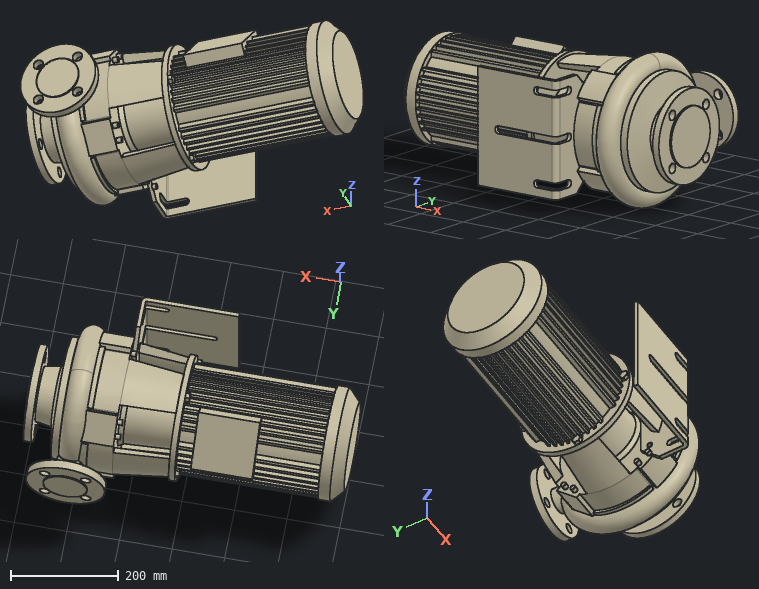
import cadquery as cq
import math

LENGTH = 612.0

cap_diameter = 217.0
cap_face_diameter = 168.0
cap_chamfer_end = 22.5
cap_end = 45.0
core_diameter = 194.0
fin_tip_diameter = 210.0
fin_count = 9
fin_spread = 115.5
fin_width = 4.6

box_start = 169.0
box_end = 286.0
box_width = 114.0
box_top = 109.0
box_depth = 37.0

flange_diameter = 239.0
flange_start = 316.0
flange_end = 327.5
nut_diameter = 19.0
nut_height = 8.0
nut_radius = 110.0
nut_angle = -3.5

lantern_end = 433.0
shell_outer_start = 113.0
shell_outer_end = 126.0
shell_inner_start = 100.5
shell_inner_end = 107.0
window_width_at_axis = 55.0
window_side_angle = 10.0
hub_radius_start = 61.0
hub_radius_end = 66.0
hub_flare_start = 423.5
hub_flare_radius = 71.5
ring_diameter = 252.0
ring_end = 481.5
rim_diameter = 264.5
rim_end = 496.0
pad_width = 62.5
flat_pad_distance = 130.5
round_pad_diameter = 270.5
pad_end = 508.0
pad_seat_width = 72.0
pad_seat_distance = 121.0

pad_bolt_diameter = 10.5
pad_bolt_height = 10.0
outlet_side_bolt_radius = 119.0
outlet_side_bolt_angle = 7.0
foot_side_bolt_radius = 120.5
foot_side_bolt_angles = (8.0, 11.0)

volute_x = 513.0
volute_tube_radius = 24.0
volute_outer_radius = 148.0
volute_center_y = 2.5
volute_center_z = -3.0
volute_tongue_radius = 111.5
cover_diameter = 231.5
cover_end = 551.5
cone_end = 562.0
neck_start_diameter = 117.0
neck_end_diameter = 105.0

inlet_flange_diameter = 185.0
inlet_flange_start = 593.5
inlet_flange_end = 608.5
inlet_face_diameter = 118.0
inlet_bolt_circle = 145.0
outlet_pipe_diameter = 50.0
outlet_flange_diameter = 150.0
outlet_flange_start = 161.0
outlet_flange_end = 177.5
outlet_face_diameter = 84.0
outlet_face_end = 180.0
outlet_bolt_circle = 110.0
flange_hole_diameter = 19.0

plate_thickness = 8.5
bend_inner_radius = 2.5
foot_y = -180.0
foot_start = 248.0
bracket_width = 230.0
web_top_y = -76.0
web_full_width_y = -117.0
web_narrow_width = 150.0
slot_width = 14.5
slot_spacing = 90.0
slot_top_y = -134.0
side_slot_start = 380.5
middle_slot_start = 289.0
bracket_bolt_diameter = 10.5
bracket_bolt_height = 8.0
bracket_bolt_offset = 95.5

CORNERS = (45, 135, 225, 315)
QUARTERS = (0, 90, 180, 270)
NUT_SIDES = 6


def disc(diameter, start, end, y=0.0, z=0.0):
    """Cylinder along X between two stations."""
    return cq.Workplane("YZ", origin=(start, y, z)).circle(diameter / 2).extrude(end - start)


def turned(points):
    """Solid of revolution about X from (x, radius) points."""
    return cq.Workplane("XY").polyline(points).close().revolve(360, (0, 0, 0), (1, 0, 0))


def around(shape, angle):
    """Turn a shape about X; angle 0 is +Y and 90 is +Z."""
    return shape.rotate((0, 0, 0), (1, 0, 0), angle)


def slab(start, end, y_min, y_max, width, z=0.0):
    """Box given by its X and Y limits and its width about a Z height."""
    return cq.Workplane("XY").box(end - start, y_max - y_min, width).translate(
        ((start + end) / 2, (y_min + y_max) / 2, z)
    )


def motor():
    cap = turned(
        [
            (0, 0),
            (0, cap_face_diameter / 2),
            (cap_chamfer_end, cap_diameter / 2),
            (cap_end, cap_diameter / 2),
            (cap_end, 0),
        ]
    )
    tip_radius = fin_tip_diameter / 2
    fin_pitch = fin_spread / (fin_count - 1)
    fins = cq.Workplane("XY")
    for i in range(fin_count):
        z = i * fin_pitch - fin_spread / 2
        fin = slab(cap_end, flange_start, -tip_radius, tip_radius, fin_width, z)
        fins = fins.add(fin).add(around(fin, 90))
    fins = fins.combine().intersect(disc(fin_tip_diameter, cap_end, flange_start))
    core = disc(core_diameter, cap_end, flange_start)
    box = around(slab(box_start, box_end, box_top - box_depth, box_top, box_width), CORNERS[0])
    return cap.union(core).union(fins).union(box)


def motor_flange():
    flange = disc(flange_diameter, flange_start, flange_end)
    nut = (
        cq.Workplane("YZ", origin=(flange_start - nut_height, nut_radius, 0))
        .transformed(rotate=(0, 0, 180 / NUT_SIDES))
        .polygon(NUT_SIDES, nut_diameter)
        .extrude(nut_height)
    )
    for quarter in QUARTERS:
        flange = flange.union(around(nut, quarter + nut_angle))
    return flange


def lantern():
    shell = turned(
        [
            (flange_end, shell_inner_start),
            (flange_end, shell_outer_start),
            (lantern_end, shell_outer_end),
            (lantern_end, shell_inner_end),
        ]
    )
    half_at_axis = window_width_at_axis / 2
    half_at_rim = half_at_axis + rim_diameter / 2 * math.tan(math.radians(window_side_angle))
    window = (
        cq.Workplane("YZ", origin=(flange_end, 0, 0))
        .polyline(
            [
                (0, -half_at_axis),
                (rim_diameter / 2, -half_at_rim),
                (rim_diameter / 2, half_at_rim),
                (0, half_at_axis),
            ]
        )
        .close()
        .extrude(lantern_end - flange_end)
    )
    for corner in CORNERS:
        shell = shell.cut(around(window, corner))
    hub = turned(
        [
            (flange_end, 0),
            (flange_end, hub_radius_start),
            (hub_flare_start, hub_radius_end),
            (lantern_end, hub_flare_radius),
            (lantern_end, 0),
        ]
    )

    ring = disc(ring_diameter, lantern_end, ring_end).union(disc(rim_diameter, ring_end, rim_end))
    seat = slab(lantern_end, rim_end, pad_seat_distance, rim_diameter, pad_seat_width)
    flat_pad = slab(lantern_end, pad_end, 0, flat_pad_distance, pad_width)
    round_pad = slab(lantern_end, pad_end, 0, round_pad_diameter, pad_width).intersect(
        disc(round_pad_diameter, lantern_end, pad_end)
    )
    for corner, pad in zip(CORNERS, (flat_pad, round_pad, round_pad, flat_pad)):
        ring = ring.cut(around(seat, corner)).union(around(pad, corner))
    return shell.union(hub).union(ring).union(pad_bolts())


def pad_bolts():
    """Two bolt heads on each pad, mirrored above and below the shaft."""
    outlet_side, foot_side = CORNERS[:2]
    near_y, near_z = foot_side_bolt_angles
    places = (
        (outlet_side_bolt_radius, outlet_side - outlet_side_bolt_angle),
        (outlet_side_bolt_radius, outlet_side + outlet_side_bolt_angle),
        (foot_side_bolt_radius, foot_side - near_z),
        (foot_side_bolt_radius, foot_side + near_y),
    )
    bolts = cq.Workplane("XY")
    for side in (-1, 1):
        for radius, angle in places:
            bolt = disc(pad_bolt_diameter, lantern_end - pad_bolt_height, lantern_end, radius)
            bolts = bolts.add(around(bolt, side * angle))
    return bolts.combine()


def bent_tube(bend_radius, center_y, center_z, start_angle, sweep):
    """Volute tube bent about an axis along X, its seam on the inside of the bend."""
    tube = (
        cq.Workplane("YX", origin=(volute_x, bend_radius, 0))
        .transformed(rotate=(0, 0, 180))
        .circle(volute_tube_radius)
        .revolve(sweep, (bend_radius, 0, 0), (bend_radius, -1, 0))
    )
    return around(tube, start_angle).translate((0, center_y, center_z))


def casing():
    bend_radius = volute_outer_radius - volute_tube_radius
    tongue_center_z = volute_center_z + bend_radius - volute_tongue_radius
    main = bent_tube(bend_radius, volute_center_y, volute_center_z, 90, 270)
    tongue = bent_tube(volute_tongue_radius, volute_center_y, tongue_center_z, 0, 90)
    volute = main.union(tongue)
    cover = turned(
        [
            (rim_end, 0),
            (rim_end, cover_diameter / 2),
            (cover_end, cover_diameter / 2),
            (cone_end, neck_start_diameter / 2),
            (inlet_flange_start, neck_end_diameter / 2),
            (inlet_flange_start, 0),
        ]
    )
    return cover.union(volute)


def bolt_holes(flange, bolt_circle):
    """Drill the corner holes through a flange that lies across X."""
    return (
        flange.faces(">X")
        .workplane(origin=(0, 0, 0))
        .polarArray(bolt_circle / 2, CORNERS[0], 360, len(CORNERS))
        .hole(flange_hole_diameter)
    )


def inlet():
    flange = disc(inlet_flange_diameter, inlet_flange_start, inlet_flange_end)
    flange = bolt_holes(flange, inlet_bolt_circle)
    return flange.union(disc(inlet_face_diameter, inlet_flange_end, LENGTH))


def outlet():
    """Built along X and then turned to point along +Y from the volute."""
    flange = disc(outlet_flange_diameter, outlet_flange_start, outlet_flange_end)
    flange = bolt_holes(flange, outlet_bolt_circle)
    face = disc(outlet_face_diameter, outlet_flange_end, outlet_face_end)
    pipe = disc(outlet_pipe_diameter, volute_outer_radius - volute_tube_radius, outlet_flange_start)
    branch = flange.union(face).union(pipe)
    return branch.rotate((0, 0, 0), (0, 0, 1), 90).translate((volute_x, 0, 0))


def bracket():
    web_start = lantern_end - plate_thickness
    web = (
        cq.Workplane("YZ", origin=(web_start, 0, 0))
        .polyline(
            [
                (foot_y, -bracket_width / 2),
                (web_full_width_y, -bracket_width / 2),
                (web_top_y, -web_narrow_width / 2),
                (web_top_y, web_narrow_width / 2),
                (web_full_width_y, bracket_width / 2),
                (foot_y, bracket_width / 2),
            ]
        )
        .close()
        .extrude(plate_thickness)
    )
    foot = slab(foot_start, lantern_end, foot_y, foot_y + plate_thickness, bracket_width)
    plate = web.union(foot)
    inside_corner = cq.selectors.NearestToPointSelector((web_start, foot_y + plate_thickness, 0))
    plate = plate.edges("|Z").edges(inside_corner).fillet(bend_inner_radius)
    plate = plate.edges("|Z and >X and <Y").fillet(bend_inner_radius + plate_thickness)

    slots = ((-slot_spacing, side_slot_start), (0, middle_slot_start), (slot_spacing, side_slot_start))
    for z, start in slots:
        center_x = start + slot_width / 2
        center_y = slot_top_y - slot_width / 2
        straight = slab(center_x, lantern_end, foot_y, center_y, slot_width, z)
        foot_round = (
            cq.Workplane("XZ", origin=(center_x, foot_y, z))
            .circle(slot_width / 2)
            .extrude(-plate_thickness)
        )
        web_round = disc(slot_width, web_start, lantern_end, center_y, z)
        plate = plate.cut(straight).cut(foot_round).cut(web_round)

    bolt = disc(
        bracket_bolt_diameter,
        web_start - bracket_bolt_height,
        web_start,
        -bracket_bolt_offset,
        -bracket_bolt_offset,
    )
    return plate.union(bolt)


result = motor()
for section in (motor_flange(), lantern(), casing(), inlet(), outlet(), bracket()):
    result = result.union(section)